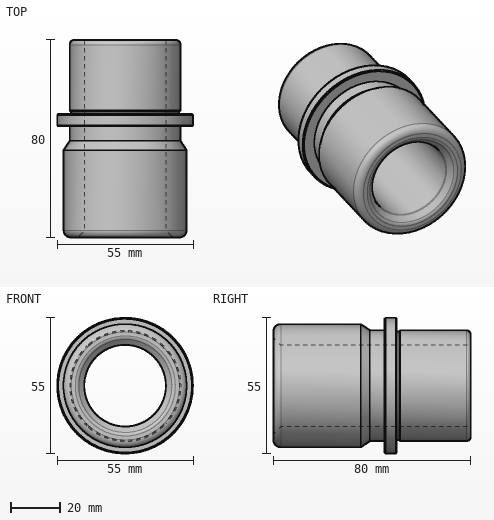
import cadquery as cq
import math

length = 80.0

bore_radius = 16.5
neck_radius = 22.5
body_radius = 25.0
flange_radius = 27.5
relief_depth = 0.5

flange_rear = 30.0
flange_front = 35.0
neck_front = 40.9
body_rear = 44.6
relief_width = 1.4

flange_chamfer = 0.5
rear_round = 2.0
front_round = 3.0
mouth_round = 2.0
throat_round = 0.5
mouth_angle = math.radians(45)
mouth_flat_radius = 20.2



def mouth_arc_point(angle):
    """Point on the mouth arc after turning by angle away from the front face."""
    radius = mouth_flat_radius - mouth_round * math.sin(angle)
    return radius, -length + mouth_round * (1 - math.cos(angle))


cone_turn = math.pi / 2 - mouth_angle
cone_start = mouth_arc_point(cone_turn)
cone_end_radius = bore_radius + throat_round * (1 - math.cos(mouth_angle))
cone_length = (cone_start[0] - cone_end_radius) / math.tan(mouth_angle)
cone_end = (cone_end_radius, cone_start[1] + cone_length)
throat_end_y = cone_end[1] + throat_round * math.sin(mouth_angle)


def throat_arc_point(angle):
    """Point on the arc blending cone into bore, where its tangent makes angle with the axis."""
    radius = bore_radius + throat_round * (1 - math.cos(angle))
    return radius, throat_end_y - throat_round * math.sin(angle)


diagonal = math.sqrt(0.5)
rear_mid_inset = rear_round * (1 - diagonal)
front_mid_inset = front_round * (1 - diagonal)
relief_radius = neck_radius - relief_depth
relief_rear = flange_rear - relief_width

profile = (
    cq.Workplane("XY")
    .moveTo(bore_radius, 0)
    .lineTo(neck_radius - rear_round, 0)
    .threePointArc((neck_radius - rear_mid_inset, -rear_mid_inset), (neck_radius, -rear_round))
    .lineTo(neck_radius, -relief_rear)
    .lineTo(relief_radius, -relief_rear - relief_depth)
    .lineTo(relief_radius, -flange_rear)
    .lineTo(flange_radius - flange_chamfer, -flange_rear)
    .lineTo(flange_radius, -flange_rear - flange_chamfer)
    .lineTo(flange_radius, -flange_front + flange_chamfer)
    .lineTo(flange_radius - flange_chamfer, -flange_front)
    .lineTo(neck_radius, -flange_front)
    .lineTo(neck_radius, -neck_front)
    .lineTo(body_radius, -body_rear)
    .lineTo(body_radius, -length + front_round)
    .threePointArc(
        (body_radius - front_mid_inset, -length + front_mid_inset),
        (body_radius - front_round, -length),
    )
    .lineTo(mouth_flat_radius, -length)
    .threePointArc(mouth_arc_point(cone_turn / 2), cone_start)
    .lineTo(*cone_end)
    .threePointArc(throat_arc_point(mouth_angle / 2), throat_arc_point(0))
    .close()
)

result = profile.revolve(360, (0, 0, 0), (0, 1, 0))